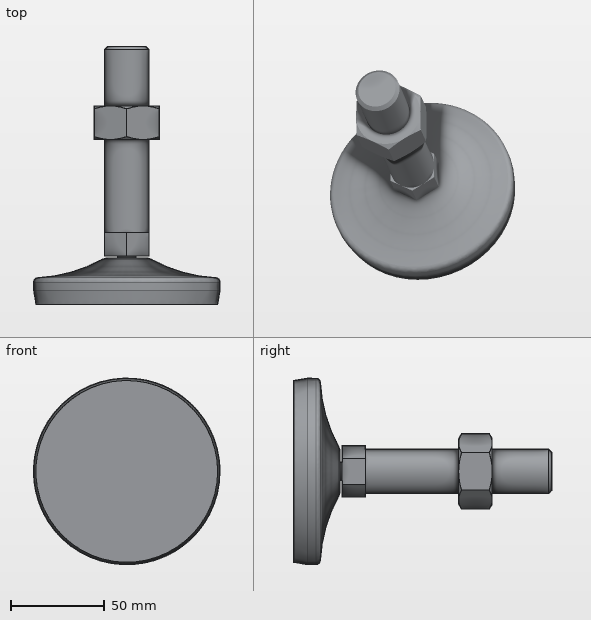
import cadquery as cq
import math


FOOT_DIAMETER = 100.0
FOOT_HEIGHT = 25.0
TAPER_HEIGHT = 7.5
TAPER_ANGLE = 9.5
RIM_TOP = 14.3
RIM_FILLET = 2.5
CROWN_DIAMETER = 23.5
CROWN_FILLET = 7.0
FLANK_RADIUS = 80.0

NECK_DIAMETER = 10.0
NECK_LENGTH = 1.0

HEX_SIDES = 6

SPINDLE_DIAMETER = 24.0
SPINDLE_LENGTH = 100.0
SPINDLE_CHAMFER = 1.84
HEX_ACROSS_FLATS = SPINDLE_DIAMETER
HEX_LENGTH = 12.5

NUT_ACROSS_FLATS = 35.0
NUT_HEIGHT = 18.0
NUT_CHAMFER_ANGLE = 30.0
NUT_OFFSET = SPINDLE_LENGTH / 2

HEX_START = FOOT_HEIGHT + NECK_LENGTH
SPINDLE_START = HEX_START + HEX_LENGTH
NUT_START = SPINDLE_START + NUT_OFFSET


def cross_section(y):
    """Workplane normal to +Y at height y, with its local X axis along the part's Z."""
    return cq.Workplane(cq.Plane(origin=(0, y, 0), xDir=(0, 0, 1), normal=(0, 1, 0)))


def cylinder(y, diameter, length):
    return cross_section(y).circle(diameter / 2).extrude(length)


def hex_across_corners(across_flats):
    return across_flats / math.cos(math.pi / HEX_SIDES)


def hex_prism(y, across_flats, length):
    """Hexagonal prism with corners toward +Z and -Z and flats facing +X and -X."""
    return cross_section(y).polygon(HEX_SIDES, hex_across_corners(across_flats)).extrude(length)


def concave_midpoint(start, end, radius):
    """Middle of the arc from start (outer, low) to end (inner, high) that sags toward the origin."""
    chord_x = end[0] - start[0]
    chord_y = end[1] - start[1]
    chord = math.hypot(chord_x, chord_y)
    sagitta = radius - math.sqrt(radius**2 - (chord / 2) ** 2)
    mid_x = (start[0] + end[0]) / 2 - sagitta * chord_y / chord
    mid_y = (start[1] + end[1]) / 2 + sagitta * chord_x / chord
    return (mid_x, mid_y)


def make_foot_plate():
    """Turned plate: tapered underside, straight rim, concave flank and a rounded flat crown."""
    rim_radius = FOOT_DIAMETER / 2
    underside_radius = rim_radius - TAPER_HEIGHT * math.tan(math.radians(TAPER_ANGLE))
    rim_edge = (rim_radius, RIM_TOP)
    crown_edge = (CROWN_DIAMETER / 2, FOOT_HEIGHT)
    profile = (
        cq.Workplane("XY")
        .lineTo(underside_radius, 0)
        .lineTo(rim_radius, TAPER_HEIGHT)
        .lineTo(*rim_edge)
        .threePointArc(concave_midpoint(rim_edge, crown_edge, FLANK_RADIUS), crown_edge)
        .lineTo(0, FOOT_HEIGHT)
    )
    plate = profile.close().revolve(360, (0, 0, 0), (0, 1, 0))
    plate = plate.faces(">Y").edges().fillet(CROWN_FILLET)
    rim_center = cq.selectors.NearestToPointSelector((0, RIM_TOP, 0))
    return plate.edges("%CIRCLE").edges(rim_center).fillet(RIM_FILLET)


def make_spindle():
    shank = cylinder(SPINDLE_START, SPINDLE_DIAMETER, SPINDLE_LENGTH)
    shank = shank.faces(">Y").edges().chamfer(SPINDLE_CHAMFER)
    hexagon = hex_prism(HEX_START, HEX_ACROSS_FLATS, HEX_LENGTH)
    return shank.union(hexagon)


def make_nut():
    """Hexagon nut whose corners are turned off conically at both ends."""
    across_corners = hex_across_corners(NUT_ACROSS_FLATS)
    corner_depth = (across_corners - NUT_ACROSS_FLATS) / 2
    chamfer_height = corner_depth * math.tan(math.radians(NUT_CHAMFER_ANGLE))
    turned_blank = cylinder(NUT_START, across_corners, NUT_HEIGHT)
    turned_blank = turned_blank.faces(">Y or <Y").edges().chamfer(chamfer_height, corner_depth)
    return hex_prism(NUT_START, NUT_ACROSS_FLATS, NUT_HEIGHT).intersect(turned_blank)


neck = cylinder(FOOT_HEIGHT, NECK_DIAMETER, NECK_LENGTH)
result = make_foot_plate().union(neck).union(make_spindle()).union(make_nut())